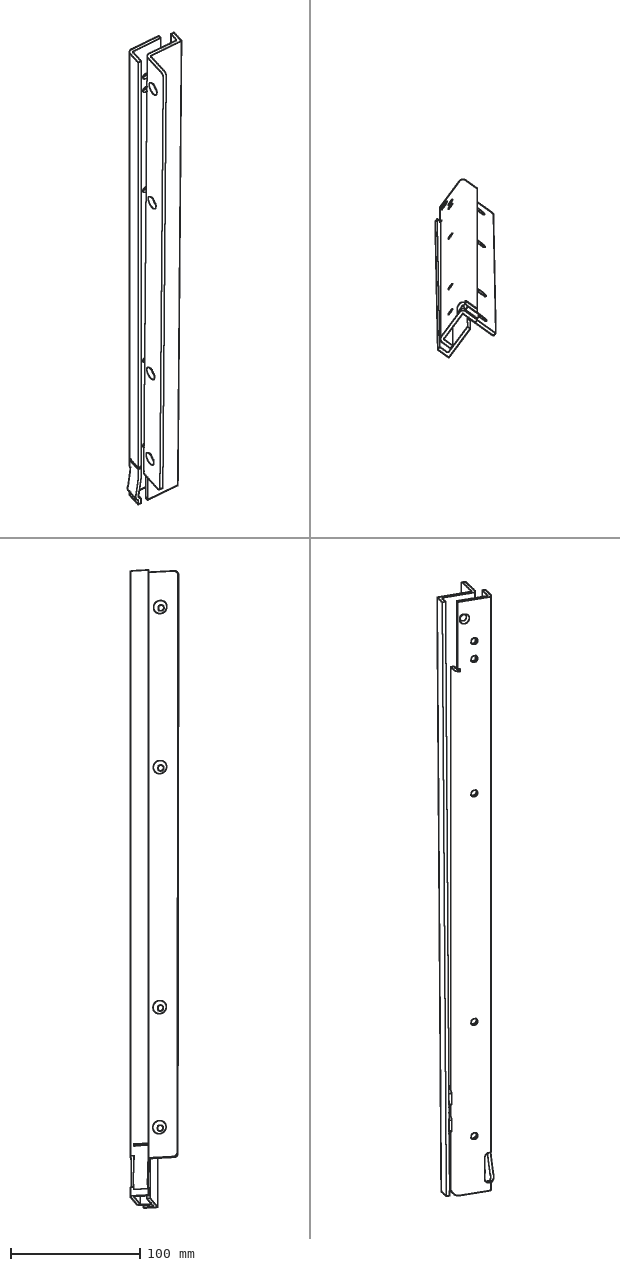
import cadquery as cq
import math

LENGTH = 500.0
WIDTH = 36.5
DEPTH = 43.0
SHEET = 2.75
BEND_RADIUS = 3.5
INNER_BEND = BEND_RADIUS - SHEET

CHANNEL_LEFT = -WIDTH / 2
CHANNEL_FRONT = -19.0
CHANNEL_BACK = 11.5
FRONT_FLANGE_END = -3.5
BACK_FLANGE_END = -7.0
CHANNEL_TOP = 249.5
CHANNEL_BOTTOM = -249.5
BEND_END = CHANNEL_LEFT + BEND_RADIUS
BACK_FLANGE_TOP = 191.0
BARE_WEB_EDGE = 10.0
BEND_RELIEF = 2.0

TONGUE_TIP = 3.75
TONGUE_DROP = 9.5
TONGUE_HEIGHT = 3.5
TONGUE_CORNER = 2.0

WEB_HOLE_Y = -3.75
WEB_HOLE_DIAMETER = 5.5
WEB_HOLE_HEIGHTS = (214.5, 199.5, 86.5, -105.5, -201.5)
DISH_Y = 4.5
DISH_Z = 234.5
DISH_DIAMETER = 8.0
DISH_HOLE_DIAMETER = 5.5

CATCH_TOP = -220.5
CATCH_CREST = -237.0
CATCH_CREST_Y = -21.0
CATCH_NOSE = -240.5
CATCH_NOSE_Y = -DEPTH / 2
CATCH_BOTTOM = -244.5
WINDOW_TOP = -217.5
WINDOW_BOTTOM = -242.5
WINDOW_BACK = -12.5
WINDOW_CORNER = 3.5
SLIT_Z = -209.0
SLIT_WIDTH = 1.5

LEAN = math.radians(0.39)
RAIL_WEB_RIGHT = -3.75
RAIL_WEB_LEFT = RAIL_WEB_RIGHT - SHEET
LIP_BACK = DEPTH / 2 - LENGTH / 2 * math.sin(LEAN)
LIP_END = -14.5
LIP_INSIDE_BEND = 1.25
FLANGE_FRONT = -12.0
FLANGE_RIGHT = WIDTH / 2
FLANGE_BOTTOM = -218.5
FLANGE_CORNER = 3.0
RAIL_LENGTH = (LENGTH - (LIP_BACK - FLANGE_FRONT) * math.sin(LEAN)) / math.cos(LEAN)
RAIL_HALF = RAIL_LENGTH / 2

SCREW_X = 4.25
SCREW_HEIGHTS = (221.5, 93.5, -98.5, -194.5)
SCREW_DIAMETER = 4.5
SCREW_HEAD_DIAMETER = 10.5

BUMP_REACH = 5.0
BUMP_FRONT = 13.5
BUMP_BACK = 16.0
BUMP_HEIGHT = 18.0
BUMP_RAMP = 4.5
BUMP_CENTRES = (-170.0, -192.5)


def box(x_range, y_range, z_range):
    """Axis-aligned block between pairs of limits."""
    ranges = (x_range, y_range, z_range)
    sizes = [high - low for low, high in ranges]
    corner = cq.Vector(*[low for low, high in ranges])
    return cq.Workplane(cq.Solid.makeBox(*sizes, corner))


def drill(diameter, depth, start, direction):
    return cq.Workplane(
        cq.Solid.makeCylinder(diameter / 2, depth, cq.Vector(*start), cq.Vector(*direction))
    )


def countersink(head_diameter, hole_diameter, start, direction):
    """Conical hole through one sheet, widest at its start."""
    return cq.Workplane(
        cq.Solid.makeCone(
            head_diameter / 2, hole_diameter / 2, SHEET, cq.Vector(*start), cq.Vector(*direction)
        )
    )


def channel_profile():
    web_inside = CHANNEL_LEFT + SHEET
    front_inside = CHANNEL_FRONT + SHEET
    back_inside = CHANNEL_BACK - SHEET
    outside_mid = BEND_RADIUS * (1 - math.sqrt(0.5))
    return (
        cq.Workplane("XY")
        .workplane(offset=CHANNEL_BOTTOM)
        .moveTo(FRONT_FLANGE_END, CHANNEL_FRONT)
        .lineTo(BEND_END, CHANNEL_FRONT)
        .threePointArc(
            (CHANNEL_LEFT + outside_mid, CHANNEL_FRONT + outside_mid),
            (CHANNEL_LEFT, CHANNEL_FRONT + BEND_RADIUS),
        )
        .lineTo(CHANNEL_LEFT, CHANNEL_BACK - BEND_RADIUS)
        .threePointArc(
            (CHANNEL_LEFT + outside_mid, CHANNEL_BACK - outside_mid),
            (BEND_END, CHANNEL_BACK),
        )
        .lineTo(BACK_FLANGE_END, CHANNEL_BACK)
        .lineTo(BACK_FLANGE_END, back_inside)
        .lineTo(web_inside, back_inside)
        .lineTo(web_inside, front_inside)
        .lineTo(FRONT_FLANGE_END, front_inside)
        .close()
    )


def bare_web_top():
    """Bend to remove above the back flange, and the plain strip of web left in its place."""
    bend_start = CHANNEL_BACK - BEND_RADIUS
    removed = box(
        (CHANNEL_LEFT, BACK_FLANGE_END),
        (bend_start, CHANNEL_BACK),
        (BACK_FLANGE_TOP, CHANNEL_TOP),
    )
    strip = box(
        (CHANNEL_LEFT, CHANNEL_LEFT + SHEET),
        (bend_start, BARE_WEB_EDGE),
        (BACK_FLANGE_TOP + BEND_RELIEF, CHANNEL_TOP),
    )
    return removed, strip


def stop_tongue():
    """Sloping tongue with rounded corners at its free end."""
    root = CHANNEL_BACK - SHEET
    tip_z = BACK_FLANGE_TOP - TONGUE_DROP
    plate = (
        cq.Workplane("YZ")
        .workplane(offset=BEND_END)
        .polyline(
            [
                (root, BACK_FLANGE_TOP),
                (TONGUE_TIP, tip_z),
                (TONGUE_TIP, tip_z - TONGUE_HEIGHT),
                (root, BACK_FLANGE_TOP - TONGUE_HEIGHT),
            ]
        )
        .close()
        .extrude(BACK_FLANGE_END - BEND_END)
    )
    rounded_outline = (
        box(
            (BEND_END, BACK_FLANGE_END),
            (TONGUE_TIP, root),
            (tip_z - TONGUE_HEIGHT, BACK_FLANGE_TOP),
        )
        .edges("|Z and <Y")
        .fillet(TONGUE_CORNER)
    )
    return plate.intersect(rounded_outline)


def catch_strip():
    """Ramp and nose of the spring catch, one sheet thick."""
    return (
        cq.Workplane("YZ")
        .workplane(offset=BEND_END)
        .moveTo(CHANNEL_FRONT, CATCH_TOP)
        .lineTo(CATCH_CREST_Y, CATCH_CREST)
        .threePointArc((CATCH_NOSE_Y, CATCH_NOSE), (CHANNEL_FRONT, CATCH_BOTTOM))
        .lineTo(CHANNEL_FRONT + SHEET, CATCH_BOTTOM)
        .threePointArc(
            (CATCH_NOSE_Y + SHEET, CATCH_NOSE),
            (CATCH_CREST_Y + SHEET, CATCH_CREST),
        )
        .lineTo(CHANNEL_FRONT + SHEET, CATCH_TOP)
        .close()
        .extrude(FRONT_FLANGE_END - BEND_END)
    )


def catch_window():
    """Opening through the front bend that frees the side of the catch."""
    overhang = 2 * WINDOW_CORNER
    return (
        box(
            (CHANNEL_LEFT, BEND_END),
            (CHANNEL_FRONT - overhang, WINDOW_BACK),
            (WINDOW_BOTTOM, WINDOW_TOP),
        )
        .edges("|X and >Y")
        .fillet(WINDOW_CORNER)
    )


def make_drawer_rail():
    rail = channel_profile().extrude(CHANNEL_TOP - CHANNEL_BOTTOM)
    removed, strip = bare_web_top()
    rail = rail.cut(removed).union(strip).union(stop_tongue())

    for z in WEB_HOLE_HEIGHTS:
        rail = rail.cut(drill(WEB_HOLE_DIAMETER, SHEET, (CHANNEL_LEFT, WEB_HOLE_Y, z), (1, 0, 0)))
    rail = rail.cut(
        countersink(DISH_DIAMETER, DISH_HOLE_DIAMETER, (CHANNEL_LEFT, DISH_Y, DISH_Z), (1, 0, 0))
    )

    flange_width = (BEND_END, FRONT_FLANGE_END)
    flange_depth = (CHANNEL_FRONT, CHANNEL_FRONT + SHEET)
    slit = box(flange_width, flange_depth, (SLIT_Z - SLIT_WIDTH / 2, SLIT_Z + SLIT_WIDTH / 2))
    flat_under_catch = box(flange_width, flange_depth, (CATCH_BOTTOM, CATCH_TOP))
    return rail.cut(slit).cut(flat_under_catch).union(catch_strip()).cut(catch_window())


def rail_web_and_lip():
    """Web and back lip, running the full length of the cabinet rail."""
    return (
        cq.Workplane("XY")
        .workplane(offset=-RAIL_HALF)
        .polyline(
            [
                (RAIL_WEB_RIGHT, FLANGE_FRONT + BEND_RADIUS),
                (RAIL_WEB_RIGHT, LIP_BACK),
                (LIP_END, LIP_BACK),
                (LIP_END, LIP_BACK - SHEET),
                (RAIL_WEB_LEFT, LIP_BACK - SHEET),
                (RAIL_WEB_LEFT, FLANGE_FRONT + BEND_RADIUS),
            ]
        )
        .close()
        .extrude(RAIL_LENGTH)
        .edges(cq.selectors.NearestToPointSelector((RAIL_WEB_LEFT, LIP_BACK - SHEET, 0)))
        .fillet(LIP_INSIDE_BEND)
    )


def mounting_flange():
    """Flange with its bend into the web, shorter than the rail."""
    bend_end = RAIL_WEB_LEFT + BEND_RADIUS
    bend_back = FLANGE_FRONT + BEND_RADIUS
    outside_mid = BEND_RADIUS * (1 - math.sqrt(0.5))
    inside_mid = SHEET + INNER_BEND * (1 - math.sqrt(0.5))
    return (
        cq.Workplane("XY")
        .workplane(offset=FLANGE_BOTTOM)
        .moveTo(RAIL_WEB_LEFT, bend_back)
        .threePointArc(
            (RAIL_WEB_LEFT + outside_mid, FLANGE_FRONT + outside_mid), (bend_end, FLANGE_FRONT)
        )
        .lineTo(FLANGE_RIGHT, FLANGE_FRONT)
        .lineTo(FLANGE_RIGHT, FLANGE_FRONT + SHEET)
        .lineTo(bend_end, FLANGE_FRONT + SHEET)
        .threePointArc(
            (RAIL_WEB_LEFT + inside_mid, FLANGE_FRONT + inside_mid), (RAIL_WEB_RIGHT, bend_back)
        )
        .close()
        .extrude(RAIL_HALF - FLANGE_BOTTOM)
        .edges("|Y and >X")
        .fillet(FLANGE_CORNER)
    )


def retaining_bump(centre_z):
    half_base = BUMP_HEIGHT / 2
    half_crest = half_base - BUMP_RAMP
    crest_x = RAIL_WEB_LEFT - BUMP_REACH
    return (
        cq.Workplane("XZ", origin=(0, BUMP_BACK, 0))
        .polyline(
            [
                (RAIL_WEB_LEFT, centre_z - half_base),
                (crest_x, centre_z - half_crest),
                (crest_x, centre_z + half_crest),
                (RAIL_WEB_LEFT, centre_z + half_base),
            ]
        )
        .close()
        .extrude(BUMP_BACK - BUMP_FRONT)
    )


def make_cabinet_rail():
    rail = rail_web_and_lip().union(mounting_flange())
    for z in BUMP_CENTRES:
        rail = rail.union(retaining_bump(z))
    for z in SCREW_HEIGHTS:
        start = (SCREW_X, FLANGE_FRONT, z)
        rail = rail.cut(countersink(SCREW_HEAD_DIAMETER, SCREW_DIAMETER, start, (0, 1, 0)))
    return rail.rotate((0, 0, 0), (1, 0, 0), -math.degrees(LEAN))


drawer_rail = make_drawer_rail()
cabinet_rail = make_cabinet_rail()

result = cq.Compound.makeCompound([drawer_rail.val(), cabinet_rail.val()])